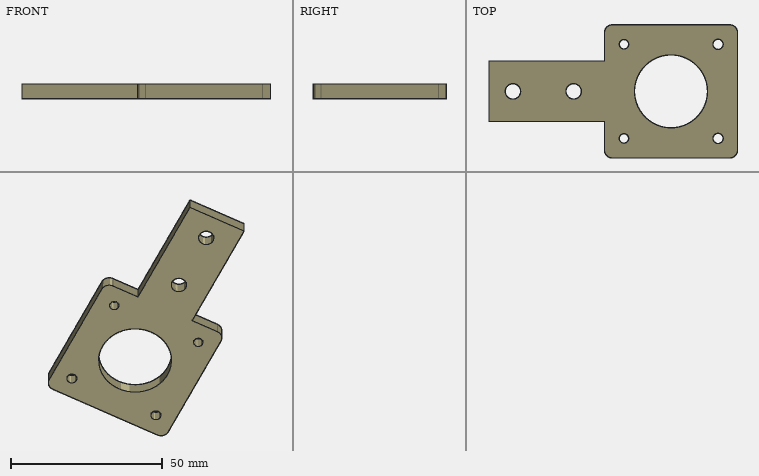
import cadquery as cq

total_length = 82.1
plate_side = 44.0
thickness = 5.0
corner_radius = 2.7

arm_width = 20.0
arm_length = total_length - plate_side
arm_hole_diameter = 5.0
arm_hole_spacing = 20.0
arm_hole_end_distance = 8.0

bore_diameter = 24.0
mount_hole_spacing = 31.0
arm_side_mount_diameter = 3.0
far_side_mount_diameter = 3.3

arm_end_x = -plate_side / 2 - arm_length


def through_holes(centers, diameter):
    """Cylinders that cut round holes through the full thickness."""
    return cq.Workplane("XY").pushPoints(centers).circle(diameter / 2).extrude(thickness)


def mount_hole_pair(x, diameter):
    """Two mounting holes at the same X, mirrored about the X axis."""
    y = mount_hole_spacing / 2
    return through_holes([(x, -y), (x, y)], diameter)


plate = (
    cq.Workplane("XY")
    .rect(plate_side, plate_side)
    .extrude(thickness)
    .edges("|Z")
    .fillet(corner_radius)
)

arm = (
    cq.Workplane("XY")
    .moveTo(arm_end_x / 2, 0)
    .rect(-arm_end_x, arm_width)
    .extrude(thickness)
)

first_hole_x = arm_end_x + arm_hole_end_distance
arm_holes = through_holes(
    [(first_hole_x, 0), (first_hole_x + arm_hole_spacing, 0)], arm_hole_diameter
)

bore = through_holes([(0, 0)], bore_diameter)
arm_side_mounts = mount_hole_pair(-mount_hole_spacing / 2, arm_side_mount_diameter)
far_side_mounts = mount_hole_pair(mount_hole_spacing / 2, far_side_mount_diameter)

result = plate.union(arm)
for holes in (arm_holes, bore, arm_side_mounts, far_side_mounts):
    result = result.cut(holes)